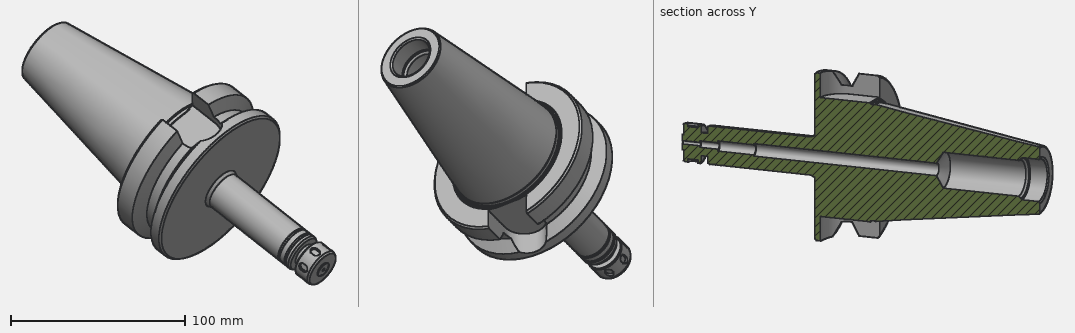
import cadquery as cq
import math


TOTAL_LENGTH = 221.8

TAPER_LENGTH = 101.8
GAUGE_DIA = 69.9
TAPER_RATIO = 7 / 24
TAPER_EDGE = 0.7
RELIEF_DIA = 69.5
RECESS_DIA = 72.8
RECESS_DEPTH = 0.7
RELIEF_ROOT = 0.7
RECESS_EDGE = 0.7

FLANGE_START = 104.7
FLANGE_END = 139.7
FLANGE_DIA = 100.0
FLANGE_EDGE = 1.0
GROOVE_CENTER = 124.9
GROOVE_FLOOR_WIDTH = 6.2
GROOVE_DIA = 85.0
GROOVE_FLANK_ANGLE = 30.0

DRIVE_SLOT_COUNT = 2
SLOT_WIDTH = 25.7
SLOT_FLOOR = 35.5
SLOT_END = 136.0

NOSE_DIA = 23.0
NOSE_END = 206.0
NOSE_EDGE = 1.3
NOSE_DROP = 0.7
ROOT_RUN = 2.2
ROOT_RISE = 1.0
RING_DEPTH = 0.2
RING_WIDTH = 1.3
RING_STARTS = (196.5, 201.5)

NECK_DIA = 14.0
NUT_START = 209.8
NUT_END = 221.1
NUT_REAR_EDGE = 0.7
NUT_FRONT_EDGE = 1.3
NUT_FRONT_DROP = 0.7
COLLET_DIA = 9.0
SPANNER_SLOT_COUNT = 6
SPANNER_SLOT_LENGTH = 6.2
SPANNER_SLOT_WIDTH = 4.5
SPANNER_SLOT_DEPTH = 1.8
SPANNER_SLOT_X = 215.1

BORE_DIA = 24.8
BORE_MOUTH_DIA = 27.3
BORE_MOUTH_RUN = 0.7
BORE_DEPTH = 11.0
THREAD_MOUTH_DIA = 23.7
THREAD_MOUTH_DEPTH = 0.7
THREAD_DIA = 21.0
THREAD_END = 59.9
DRILL_TIP_ANGLE = 118.0
COOLANT_DIA = 7.0
COOLANT_END = 177.5
COLLET_SEAT_DIA = 5.8
COLLET_SEAT_END = 199.6
STOP_DIA = 3.5
STOP_END = 210.7
TOOL_HOLE_DIA = 1.7


def revolve_profile(points):
    """Revolve (x, radius) points, closed along the axis, around X."""
    first_x = points[0][0]
    last_x = points[-1][0]
    outline = [(first_x, 0)] + points + [(last_x, 0)]
    return cq.Workplane("XY").polyline(outline).close().revolve(360, (0, 0, 0), (1, 0, 0))


def make_shank_and_flange():
    small_end_radius = (GAUGE_DIA - TAPER_LENGTH * TAPER_RATIO) / 2
    flange_radius = FLANGE_DIA / 2
    recess_floor = FLANGE_START + RECESS_DEPTH
    groove_radius = GROOVE_DIA / 2
    flank_run = (flange_radius - groove_radius) * math.tan(math.radians(GROOVE_FLANK_ANGLE))
    floor_start = GROOVE_CENTER - GROOVE_FLOOR_WIDTH / 2
    floor_end = GROOVE_CENTER + GROOVE_FLOOR_WIDTH / 2
    return revolve_profile([
        (0, small_end_radius - TAPER_EDGE),
        (TAPER_EDGE, small_end_radius + TAPER_EDGE * TAPER_RATIO / 2),
        (TAPER_LENGTH, GAUGE_DIA / 2),
        (TAPER_LENGTH + TAPER_EDGE, RELIEF_DIA / 2),
        (recess_floor - RELIEF_ROOT, RELIEF_DIA / 2),
        (recess_floor, RELIEF_DIA / 2 + RELIEF_ROOT),
        (recess_floor, RECESS_DIA / 2),
        (FLANGE_START, RECESS_DIA / 2 + RECESS_EDGE),
        (FLANGE_START, flange_radius - FLANGE_EDGE),
        (FLANGE_START + FLANGE_EDGE, flange_radius),
        (floor_start - flank_run, flange_radius),
        (floor_start, groove_radius),
        (floor_end, groove_radius),
        (floor_end + flank_run, flange_radius),
        (FLANGE_END - FLANGE_EDGE, flange_radius),
        (FLANGE_END, flange_radius - FLANGE_EDGE),
    ])


def make_nose_and_nut():
    nose_radius = NOSE_DIA / 2
    return revolve_profile([
        (FLANGE_END, nose_radius + ROOT_RISE),
        (FLANGE_END + ROOT_RUN, nose_radius),
        (NOSE_END - NOSE_EDGE, nose_radius),
        (NOSE_END, nose_radius - NOSE_DROP),
        (NOSE_END, NECK_DIA / 2),
        (NUT_START, NECK_DIA / 2),
        (NUT_START, nose_radius - NUT_REAR_EDGE),
        (NUT_START + NUT_REAR_EDGE, nose_radius),
        (NUT_END - NUT_FRONT_EDGE, nose_radius),
        (NUT_END, nose_radius - NUT_FRONT_DROP),
        (NUT_END, COLLET_DIA / 2),
        (TOTAL_LENGTH, COLLET_DIA / 2),
    ])


def make_bore():
    half_tip = math.radians(DRILL_TIP_ANGLE / 2)
    thread_mouth_run = (THREAD_MOUTH_DIA - THREAD_DIA) / 2
    thread_mouth_end = BORE_DEPTH + THREAD_MOUTH_DEPTH
    tip_run = (THREAD_DIA - COOLANT_DIA) / 2 / math.tan(half_tip)
    return revolve_profile([
        (0, BORE_MOUTH_DIA / 2),
        (BORE_MOUTH_RUN, BORE_DIA / 2),
        (BORE_DEPTH, BORE_DIA / 2),
        (BORE_DEPTH, THREAD_MOUTH_DIA / 2),
        (thread_mouth_end, THREAD_MOUTH_DIA / 2),
        (thread_mouth_end + thread_mouth_run, THREAD_DIA / 2),
        (THREAD_END, THREAD_DIA / 2),
        (THREAD_END + tip_run, COOLANT_DIA / 2),
        (COOLANT_END, COOLANT_DIA / 2),
        (COOLANT_END, COLLET_SEAT_DIA / 2),
        (COLLET_SEAT_END, COLLET_SEAT_DIA / 2),
        (COLLET_SEAT_END, STOP_DIA / 2),
        (STOP_END, STOP_DIA / 2),
        (STOP_END, TOOL_HOLE_DIA / 2),
        (TOTAL_LENGTH, TOOL_HOLE_DIA / 2),
    ])


def make_drive_slot():
    """Cutter for the +Z slot: open toward the taper, round at the far end."""
    half_width = SLOT_WIDTH / 2
    arc_center = SLOT_END - half_width
    return (
        cq.Workplane("XY", origin=(0, 0, SLOT_FLOOR))
        .moveTo(FLANGE_START, -half_width)
        .lineTo(arc_center, -half_width)
        .threePointArc((SLOT_END, 0), (arc_center, half_width))
        .lineTo(FLANGE_START, half_width)
        .close()
        .extrude(FLANGE_DIA / 2)
    )


def make_spanner_slot():
    """Cutter for the round-ended spanner slot on the +Z side of the nut."""
    floor_height = NOSE_DIA / 2 - SPANNER_SLOT_DEPTH
    return (
        cq.Workplane("XY", origin=(SPANNER_SLOT_X, 0, floor_height))
        .slot2D(SPANNER_SLOT_LENGTH, SPANNER_SLOT_WIDTH)
        .extrude(NOSE_DIA)
    )


def make_ring_groove(start):
    """Cutter for a shallow square groove around the nose."""
    return (
        cq.Workplane("YZ", origin=(start, 0, 0))
        .circle(NOSE_DIA)
        .circle(NOSE_DIA / 2 - RING_DEPTH)
        .extrude(RING_WIDTH)
    )


def cut_around_axis(body, cutter, count):
    """Cut the same shape at equal angles around X."""
    for i in range(count):
        body = body.cut(cutter.rotate((0, 0, 0), (1, 0, 0), i * 360 / count))
    return body


result = make_shank_and_flange().union(make_nose_and_nut())
result = cut_around_axis(result, make_drive_slot(), DRIVE_SLOT_COUNT)
result = cut_around_axis(result, make_spanner_slot(), SPANNER_SLOT_COUNT)
for ring_start in RING_STARTS:
    result = result.cut(make_ring_groove(ring_start))
result = result.cut(make_bore())